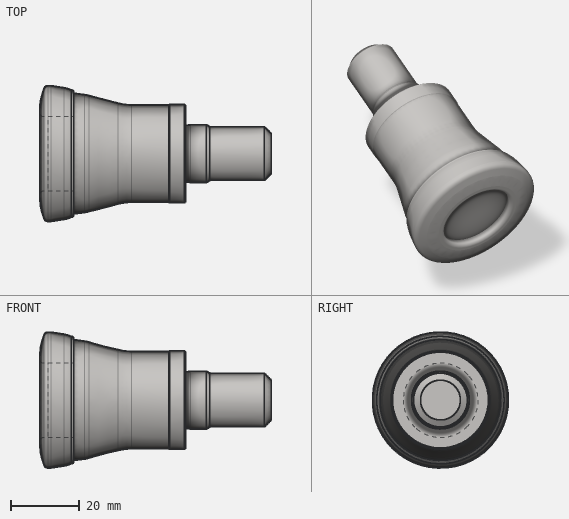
import cadquery as cq

total_length = 68.0

cap_radius = 39.9 / 2
cap_length = 10.0
crest_inner_radius = 12.0
crest_outer_radius = 13.0
face_middle_x, face_middle_radius = 0.55, 16.7
face_edge_x, face_edge_radius = 1.2, 19.0
rim_start_x = 2.3
rim_end_x = 3.3
flank_middle_x, flank_middle_radius = 7.0, 19.4
flank_end_x, flank_end_radius = 9.25, 18.7
cap_end_radius = 18.1
edge_bulge = 0.2

recess_radius = 10.95
recess_depth = 2.3
recess_edge_round = crest_inner_radius - recess_radius

shoulder_radius = 17.75
flare_start_x, flare_start_radius = 13.1, 17.35
flare_upper_x, flare_upper_radius = 14.35, 17.1
flare_lower_x, flare_lower_radius = 23.0, 14.8
barrel_start_x = 26.85
barrel_radius = 28.6 / 2

collar_start_x = 37.95
collar_end_x = 42.85
collar_radius = 29.0 / 2
collar_chamfer = 0.4
collar_step = collar_radius - barrel_radius

stem_radius = 15.8 / 2
stem_tip_chamfer = 2.05
land_radius = 17.0 / 2
land_start_x = 44.3
land_end_x = 48.95
neck_radius = 8.35
neck_end_x = 43.45
land_taper_length = 1.0


def turned(profile):
    """Close a half profile and revolve it about the X axis."""
    return profile.close().revolve(360, (0, 0, 0), (1, 0, 0))


def make_cap():
    profile = (
        cq.Workplane("XY")
        .moveTo(recess_depth, recess_radius)
        .lineTo(recess_edge_round, recess_radius)
        .radiusArc((0, crest_inner_radius), recess_edge_round)
        .lineTo(0, crest_outer_radius)
        .tangentArcPoint((face_middle_x, face_middle_radius), relative=False)
        .lineTo(face_edge_x, face_edge_radius)
        .tangentArcPoint((rim_start_x, cap_radius), relative=False)
        .lineTo(rim_end_x, cap_radius)
        .lineTo(flank_middle_x, flank_middle_radius)
        .tangentArcPoint((flank_end_x, flank_end_radius), relative=False)
        .threePointArc(
            (cap_length - edge_bulge, (flank_end_radius + cap_end_radius) / 2 + edge_bulge / 2),
            (cap_length, cap_end_radius),
        )
        .lineTo(cap_length, recess_radius)
    )
    return turned(profile)


def make_knob():
    profile = (
        cq.Workplane("XY")
        .moveTo(recess_depth, 0)
        .lineTo(recess_depth, recess_radius)
        .lineTo(cap_length, recess_radius)
        .lineTo(cap_length, shoulder_radius)
        .lineTo(flare_start_x, flare_start_radius)
        .tangentArcPoint((flare_upper_x, flare_upper_radius), relative=False)
        .lineTo(flare_lower_x, flare_lower_radius)
        .tangentArcPoint((barrel_start_x, barrel_radius), relative=False)
        .lineTo(collar_start_x, barrel_radius)
        .lineTo(collar_start_x + collar_step, collar_radius)
        .lineTo(collar_end_x - collar_chamfer, collar_radius)
        .lineTo(collar_end_x, collar_radius - collar_chamfer)
        .lineTo(collar_end_x, neck_radius)
        .lineTo(neck_end_x, neck_radius)
        .lineTo(land_start_x, land_radius)
        .lineTo(land_end_x, land_radius)
        .lineTo(land_end_x + land_taper_length, stem_radius)
        .lineTo(total_length - stem_tip_chamfer, stem_radius)
        .lineTo(total_length, stem_radius - stem_tip_chamfer)
        .lineTo(total_length, 0)
    )
    return turned(profile)


cap = make_cap()
knob = make_knob()

result = cq.Compound.makeCompound([cap.val(), knob.val()])